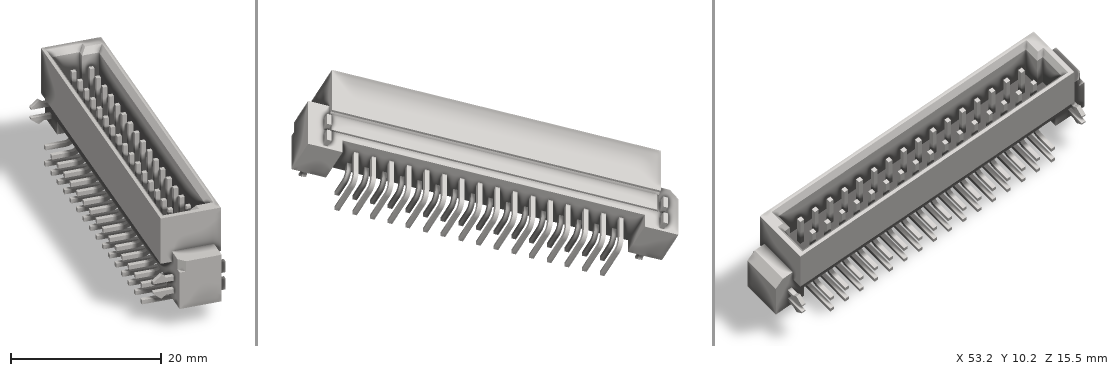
import cadquery as cq


shroud_length = 47.25
shroud_width = 8.5
shroud_height = 7.0
shroud_rear_step = 0.25

side_wall = 0.5
end_wall = 0.7
cavity_depth = 6.7
lead_in_width = 0.65
lead_in_depth = 0.9
key_length = 0.95
key_width = 2.4

base_front_y = -2.65
base_back_y = 3.3
base_bottom_z = -10.7
ear_left_x = -26.55
ear_right_x = 26.65
ear_top_z = -5.45
ear_bevel = 1.2
foot_inner_x = 21.7
foot_bottom_z = -12.65
corner_mark_size = 0.9
corner_mark_depth = 1.6

rib_back_y = 3.6
rib_bottom_z = -9.6
rib_end_bevel = 0.25

pins_per_row = 16
pin_row_length = 38.1
pitch = pin_row_length / (pins_per_row - 1)
pin_size = 0.65
pin_top_z = -1.6
row_y = pitch / 2
tail_end_y = -5.4
back_tail_z = -15.15
front_tail_z = back_tail_z + pitch
bend_radius = 1.3

clip_x = 24.15
clip_thickness = 0.65
clip_z = -10.1
tab_back_y = 4.65
tab_inner = 0.5
tab_outer = 2.2
tine_inner = 0.65
tine_outer = 1.35
tine_tip = 0.9
barb_outer = 1.8
barb_start_y = -3.85
barb_peak_y = -4.45
tine_end_y = -5.6


def cavity_outline(inset):
    """Cavity outline with a key in each rear corner, drawn in by an inset."""
    half_length = shroud_length / 2 - end_wall - inset
    half_width = shroud_width / 2 - side_wall - inset
    key_x = half_length - key_length
    key_y = half_width - key_width
    return [
        (-half_length, -half_width),
        (half_length, -half_width),
        (half_length, key_y),
        (key_x, key_y),
        (key_x, half_width),
        (-key_x, half_width),
        (-key_x, key_y),
        (-half_length, key_y),
    ]


def make_base():
    """Base with ears and feet, extruded across the housing's depth."""
    outline = [
        (ear_left_x, foot_bottom_z),
        (-foot_inner_x, foot_bottom_z),
        (-foot_inner_x, base_bottom_z),
        (foot_inner_x, base_bottom_z),
        (foot_inner_x, foot_bottom_z),
        (ear_right_x, foot_bottom_z),
        (ear_right_x, ear_top_z),
        (ear_left_x + ear_bevel, ear_top_z),
        (ear_left_x, ear_top_z - ear_bevel),
    ]
    base = (
        cq.Workplane("XZ", origin=(0, base_back_y, 0))
        .polyline(outline)
        .close()
        .extrude(base_back_y - base_front_y)
    )
    corner_mark = (
        cq.Workplane("XY", origin=(ear_right_x, base_front_y, ear_top_z))
        .polyline([(0, 0), (-corner_mark_size, 0), (0, corner_mark_size)])
        .close()
        .extrude(-corner_mark_depth)
    )
    return base.cut(corner_mark)


def make_shroud():
    """Solid shroud block whose underside steps up, on a slope, behind the rib."""
    half_width = shroud_width / 2
    rear_bottom_z = shroud_rear_step - shroud_height
    profile = [
        (-half_width, 0),
        (-half_width, -shroud_height),
        (rib_back_y, -shroud_height),
        (rib_back_y + shroud_rear_step, rear_bottom_z),
        (half_width, rear_bottom_z),
        (half_width, 0),
    ]
    return cq.Workplane("YZ").polyline(profile).close().extrude(shroud_length / 2, both=True)


def make_rear_rib():
    """Low rib along the back of the base, with its two upright rear edges bevelled."""
    rib = (
        cq.Workplane("XY", origin=(0, rib_back_y / 2, rib_bottom_z))
        .rect(shroud_length, rib_back_y)
        .extrude(-shroud_height - rib_bottom_z)
    )
    return rib.edges("|Z and >Y").chamfer(rib_end_bevel)


def make_cavity():
    """Straight-walled cavity with a sloped lead-in around its rim."""
    cavity = cq.Workplane("XY").polyline(cavity_outline(lead_in_width)).close().extrude(-cavity_depth)
    rim = cq.Wire.makePolygon([cq.Vector(x, y, 0) for x, y in cavity_outline(0)], close=True)
    throat = cq.Wire.makePolygon(
        [cq.Vector(x, y, -lead_in_depth) for x, y in cavity_outline(lead_in_width)], close=True
    )
    lead_in = cq.Solid.makeLoft([rim, throat], True)
    return cavity.union(cq.Workplane(obj=lead_in))


def make_pin(x, y, tail_z):
    """Square pin that runs down through the base and bends to the front."""
    path = (
        cq.Workplane("YZ", origin=(x, 0, 0))
        .moveTo(y, pin_top_z)
        .lineTo(y, tail_z + bend_radius)
        .radiusArc((y - bend_radius, tail_z), bend_radius)
        .lineTo(tail_end_y, tail_z)
    )
    return cq.Workplane("XY", origin=(x, y, pin_top_z)).rect(pin_size, pin_size).sweep(path)


def make_clip_half(x, side):
    """Tab and barbed tine above (side = 1) or below (side = -1) the clip's middle."""
    outline = [
        (tab_back_y, tab_inner),
        (tab_back_y, tab_outer),
        (0, tab_outer),
        (0, tine_outer),
        (barb_start_y, tine_outer),
        (barb_peak_y, barb_outer),
        (tine_end_y, tine_tip),
        (tine_end_y, tine_inner),
        (0, tine_inner),
        (0, tab_inner),
    ]
    return (
        cq.Workplane("YZ", origin=(x, 0, clip_z))
        .polyline([(y, side * z) for y, z in outline])
        .close()
        .extrude(clip_thickness / 2, both=True)
    )


result = make_base().union(make_shroud()).union(make_rear_rib()).cut(make_cavity())

for index in range(pins_per_row):
    pin_x = index * pitch - pin_row_length / 2
    result = result.union(make_pin(pin_x, -row_y, front_tail_z))
    result = result.union(make_pin(pin_x, row_y, back_tail_z))

for x in (-clip_x, clip_x):
    for side in (1, -1):
        result = result.union(make_clip_half(x, side))